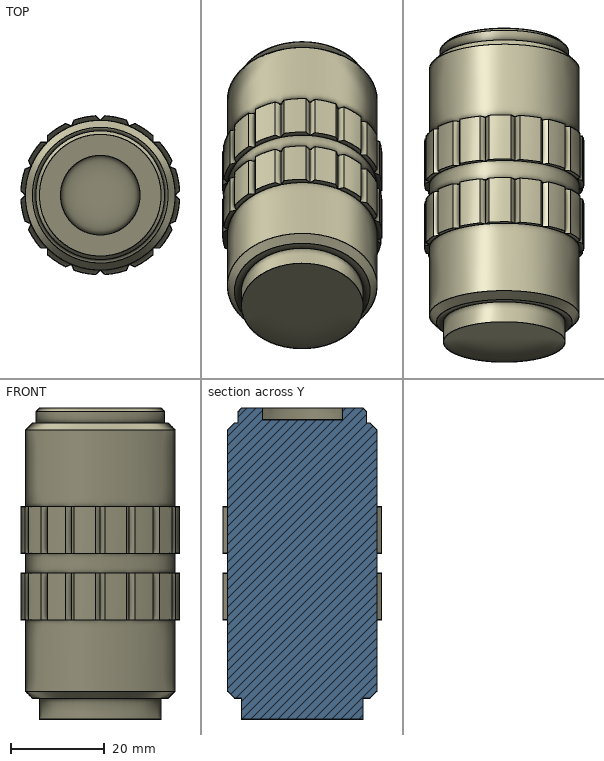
import cadquery as cq
import math

total_height = 66.5
spigot_height = 4.5
rim_height = 3.2
ring_height = 10.0
lower_ring_bottom = 21.25
ring_gap = 4.2

body_radius = 16.0
spigot_radius = 13.0
rim_radius = 13.75
ring_radius = 17.0
recess_radius = 8.5

body_chamfer = 1.5
rim_chamfer = 0.75
recess_depth = 2.5

groove_count = 16
groove_angle = 90.0

ring_bottoms = [lower_ring_bottom, lower_ring_bottom + ring_height + ring_gap]


def disc(radius, bottom, height):
    """Upright cylinder on the Z axis."""
    return cq.Workplane("XY").workplane(offset=bottom).circle(radius).extrude(height)


def make_barrel():
    """Main body with chamfered ends, a spigot below and a rim above."""
    body_height = total_height - spigot_height - rim_height
    body = disc(body_radius, spigot_height, body_height).edges().chamfer(body_chamfer)
    spigot = disc(spigot_radius, 0, spigot_height)
    rim = disc(rim_radius, total_height - rim_height, rim_height)
    rim = rim.faces(">Z").edges().chamfer(rim_chamfer)
    return body.union(spigot).union(rim)


def make_grip_ring(bottom):
    """Raised band cut into grip pads by evenly spaced V grooves."""
    groove_depth = 2 * (ring_radius - body_radius)
    half_width = groove_depth * math.tan(math.radians(groove_angle / 2))
    groove = (
        cq.Workplane("XY")
        .workplane(offset=bottom)
        .moveTo(body_radius, 0)
        .lineTo(body_radius + groove_depth, half_width)
        .lineTo(body_radius + groove_depth, -half_width)
        .close()
        .extrude(ring_height)
    )
    ring = disc(ring_radius, bottom, ring_height)
    for index in range(groove_count):
        turn = index * 360 / groove_count
        ring = ring.cut(groove.rotate((0, 0, 0), (0, 0, 1), turn))
    return ring


def make_recess():
    """Round blind recess in the top face."""
    return disc(recess_radius, total_height - recess_depth, recess_depth)


result = make_barrel()
for ring_bottom in ring_bottoms:
    result = result.union(make_grip_ring(ring_bottom))
result = result.cut(make_recess())